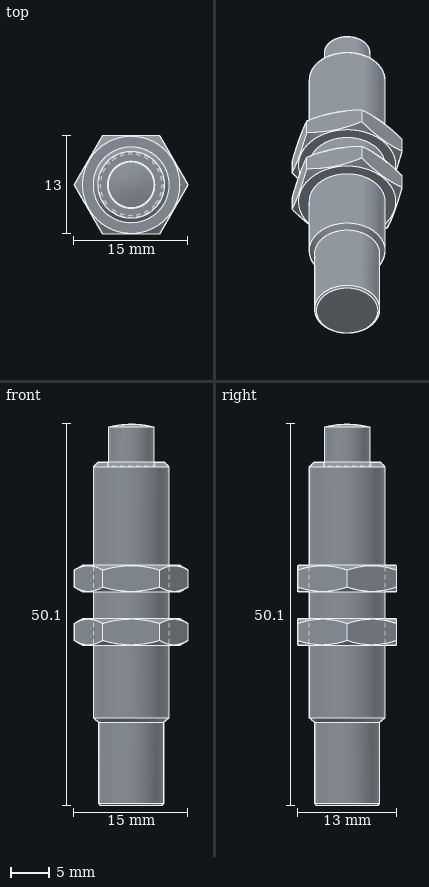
import cadquery as cq
import math

total_length = 50.15

barrel_diameter = 10.0
barrel_bottom = 10.95
barrel_top = 45.15
barrel_chamfer_height = 0.6
sleeve_diameter = 8.6
sleeve_chamfer = 0.25
barrel_end_diameter = 8.8
plunger_diameter = 6.0
dome_height = 0.4
plunger_clearance = 0.1
clearance_depth = 0.5

nut_across_flats = 13.0
nut_height = 3.5
nut_face_diameter = 12.8
nut_chamfer_angle = 30.0
nut_bottoms = [21.05, 28.1]

barrel_radius = barrel_diameter / 2
sleeve_radius = sleeve_diameter / 2
plunger_radius = plunger_diameter / 2


def make_sensor():
    """Revolve the one-piece sleeve, barrel and domed plunger about Z."""
    dome_edge = total_length - dome_height
    dome_radius = (plunger_radius**2 + dome_height**2) / (2 * dome_height)
    half_angle = math.asin(plunger_radius / dome_radius) / 2
    dome_midpoint = (
        dome_radius * math.sin(half_angle),
        total_length - dome_radius * (1 - math.cos(half_angle)),
    )
    return (
        cq.Workplane("XZ")
        .moveTo(0, 0)
        .lineTo(sleeve_radius - sleeve_chamfer, 0)
        .lineTo(sleeve_radius, sleeve_chamfer)
        .lineTo(sleeve_radius, barrel_bottom)
        .lineTo(barrel_radius, barrel_bottom + barrel_chamfer_height)
        .lineTo(barrel_radius, barrel_top - barrel_chamfer_height)
        .lineTo(barrel_end_diameter / 2, barrel_top)
        .lineTo(plunger_radius + plunger_clearance, barrel_top)
        .lineTo(plunger_radius + plunger_clearance, barrel_top - clearance_depth)
        .lineTo(plunger_radius, barrel_top - clearance_depth)
        .lineTo(plunger_radius, dome_edge)
        .threePointArc(dome_midpoint, (0, total_length))
        .close()
        .revolve(360, (0, 0), (0, 1))
    )


def make_nut(bottom):
    """Make a hexagonal nut with conical chamfers on both faces."""
    corner_radius = nut_across_flats / 2 / math.cos(math.pi / 6)
    face_radius = nut_face_diameter / 2
    chamfer_height = (corner_radius - face_radius) * math.tan(math.radians(nut_chamfer_angle))
    hexagon = cq.Workplane("XY").polygon(6, 2 * corner_radius).extrude(nut_height)
    chamfer_envelope = (
        cq.Workplane("XZ")
        .moveTo(0, 0)
        .lineTo(face_radius, 0)
        .lineTo(corner_radius, chamfer_height)
        .lineTo(corner_radius, nut_height - chamfer_height)
        .lineTo(face_radius, nut_height)
        .lineTo(0, nut_height)
        .close()
        .revolve(360, (0, 0), (0, 1))
    )
    bore = cq.Workplane("XY").circle(barrel_radius).extrude(nut_height)
    return hexagon.intersect(chamfer_envelope).cut(bore).translate((0, 0, bottom))


sensor = make_sensor()
nuts = [make_nut(bottom) for bottom in nut_bottoms]

result = cq.Compound.makeCompound([sensor.val(), *[nut.val() for nut in nuts]])